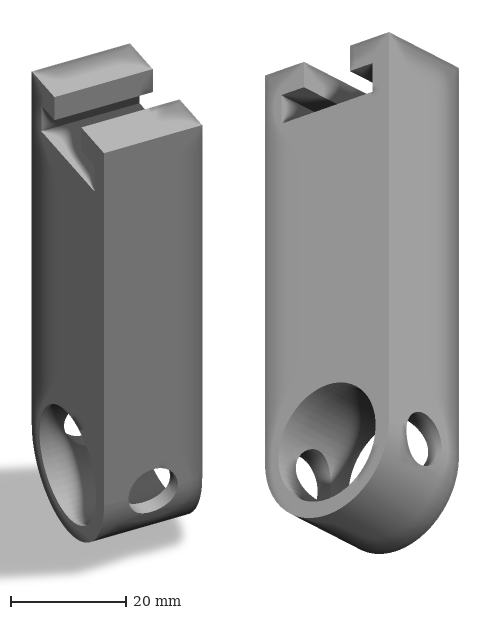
import cadquery as cq

width = 27.9
depth = 19.1
height = 88.4
end_radius = width / 2

bore_diameter = 21.9
cross_hole_diameter = 9.55

slot_opening = 10.3
slot_width = 20.5
slot_depth = 10.3
lip_height = 4.9


def make_body():
    """Bar with a rounded lower end, resting on Z = 0 and centred in X and Y."""
    return (
        cq.Workplane("XZ")
        .moveTo(-end_radius, height)
        .lineTo(-end_radius, end_radius)
        .threePointArc((0, 0), (end_radius, end_radius))
        .lineTo(end_radius, height)
        .close()
        .extrude(depth / 2, both=True)
    )


def make_bore():
    """Large hole running front to back."""
    return (
        cq.Workplane("XZ")
        .center(0, end_radius)
        .circle(bore_diameter / 2)
        .extrude(depth, both=True)
    )


def make_cross_hole():
    """Small hole running side to side through both walls of the bore."""
    return (
        cq.Workplane("YZ")
        .center(0, end_radius)
        .circle(cross_hole_diameter / 2)
        .extrude(width, both=True)
    )


def make_t_slot():
    """Narrow opening at the top above a wider channel, running front to back."""
    slot_floor = cq.Workplane("XY").workplane(offset=height - slot_depth)
    opening = slot_floor.rect(slot_opening, depth).extrude(slot_depth)
    channel = slot_floor.rect(slot_width, depth).extrude(slot_depth - lip_height)
    return opening.union(channel)


result = make_body().cut(make_bore()).cut(make_cross_hole()).cut(make_t_slot())